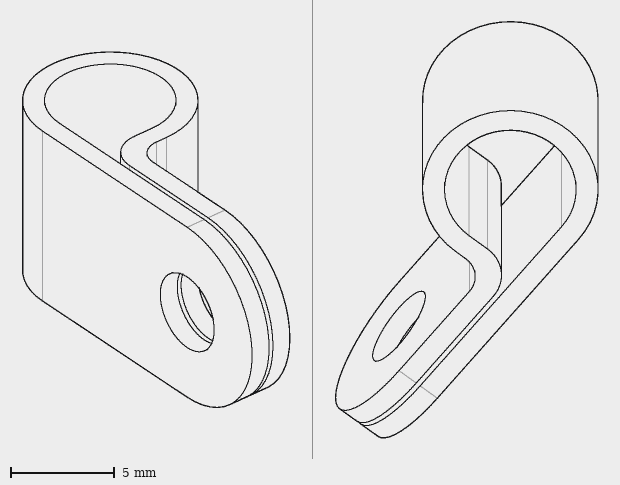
import cadquery as cq

length = 20.1
width = 9.83
loop_radius = 4.25
thickness = 1.07
strap_gap = 0.25
hole_diameter = 4.08
neck_outside_radius = 1.8
neck_inside_radius = 1.25

bore_radius = loop_radius - thickness
strap_end = length - loop_radius
end_radius = width / 2
hole_x = strap_end - end_radius
lower_strap_top = -bore_radius
upper_strap_bottom = lower_strap_top + strap_gap
upper_strap_top = upper_strap_bottom + thickness


def bend_midpoint(corner_x, corner_y, radius):
    """Middle of a quarter bend whose corner lies to its lower left."""
    offset = radius * (1 - 0.5 ** 0.5)
    return (corner_x + offset, corner_y + offset)


def loop_quarter_midpoint(radius):
    """Point halfway around the upper right quarter of the loop."""
    return (radius * 0.5 ** 0.5, radius * 0.5 ** 0.5)


def folded_band():
    """Band running from the lower strap, around the loop, to the upper strap."""
    return (
        cq.Workplane("XY")
        .workplane(offset=-width / 2)
        .moveTo(strap_end, -loop_radius)
        .lineTo(0, -loop_radius)
        .threePointArc((-loop_radius, 0), (0, loop_radius))
        .threePointArc(loop_quarter_midpoint(loop_radius), (loop_radius, 0))
        .lineTo(loop_radius, upper_strap_top + neck_inside_radius)
        .threePointArc(
            bend_midpoint(loop_radius, upper_strap_top, neck_inside_radius),
            (loop_radius + neck_inside_radius, upper_strap_top),
        )
        .lineTo(strap_end, upper_strap_top)
        .lineTo(strap_end, upper_strap_bottom)
        .lineTo(bore_radius + neck_outside_radius, upper_strap_bottom)
        .threePointArc(
            bend_midpoint(bore_radius, upper_strap_bottom, neck_outside_radius),
            (bore_radius, upper_strap_bottom + neck_outside_radius),
        )
        .lineTo(bore_radius, 0)
        .threePointArc(loop_quarter_midpoint(bore_radius), (0, bore_radius))
        .threePointArc((-bore_radius, 0), (0, lower_strap_top))
        .lineTo(strap_end, lower_strap_top)
        .close()
        .extrude(width)
    )


def rounded_end_envelope():
    """Block around the whole band with a full round at the strap end."""
    depth = 2 * loop_radius
    block_length = loop_radius + hole_x
    block_center = (hole_x - block_length / 2, 0, 0)
    block = cq.Workplane("XY").box(block_length, depth, width).translate(block_center)
    round_end = (
        cq.Workplane("XZ", origin=(hole_x, loop_radius, 0))
        .circle(end_radius)
        .extrude(depth)
    )
    return block.union(round_end)


def screw_hole():
    """Cylinder passing through both straps."""
    return (
        cq.Workplane("XZ", origin=(hole_x, loop_radius, 0))
        .circle(hole_diameter / 2)
        .extrude(2 * loop_radius)
    )


result = folded_band().intersect(rounded_end_envelope()).cut(screw_hole())